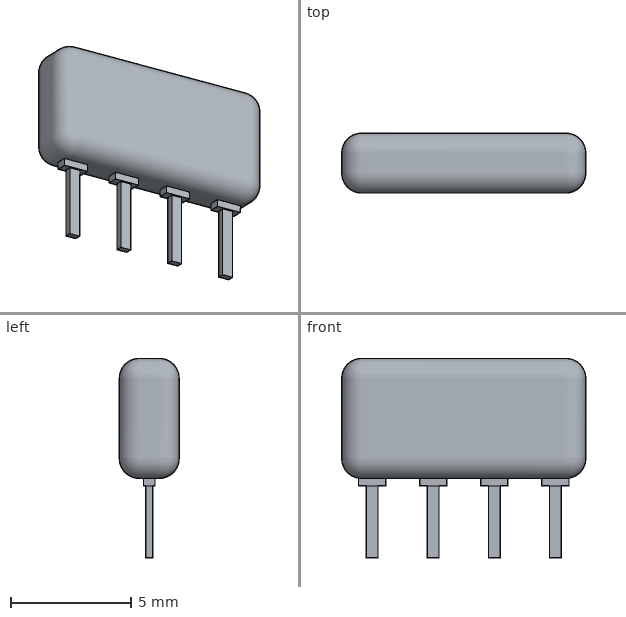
import cadquery as cq

body_length = 10.16
body_depth = 2.5
body_height = 5.0
edge_radius = body_depth / 3

pin_count = 4
pin_pitch = body_length / pin_count
pin_width = 0.5
pin_depth = 0.3
pin_length = 3.0

shoulder_width = 1.14
shoulder_depth = 0.5
shoulder_height = 0.3
embed_depth = edge_radius


def block(width, depth, bottom, top):
    """Box centred on X and Y between two heights."""
    solid = cq.Workplane("XY").box(width, depth, top - bottom, centered=(True, True, False))
    return solid.translate((0, 0, bottom))


def make_body():
    """Body standing on Z = 0 with every edge rounded."""
    return block(body_length, body_depth, 0, body_height).edges().fillet(edge_radius)


def make_pin():
    """Shoulder embedded in the body, with the narrower pin below it."""
    shoulder = block(shoulder_width, shoulder_depth, -shoulder_height, embed_depth)
    pin = block(pin_width, pin_depth, -shoulder_height - pin_length, -shoulder_height)
    return shoulder.union(pin)


result = make_body()
for index in range(pin_count):
    pin_x = (index - (pin_count - 1) / 2) * pin_pitch
    result = result.union(make_pin().translate((pin_x, 0, 0)))